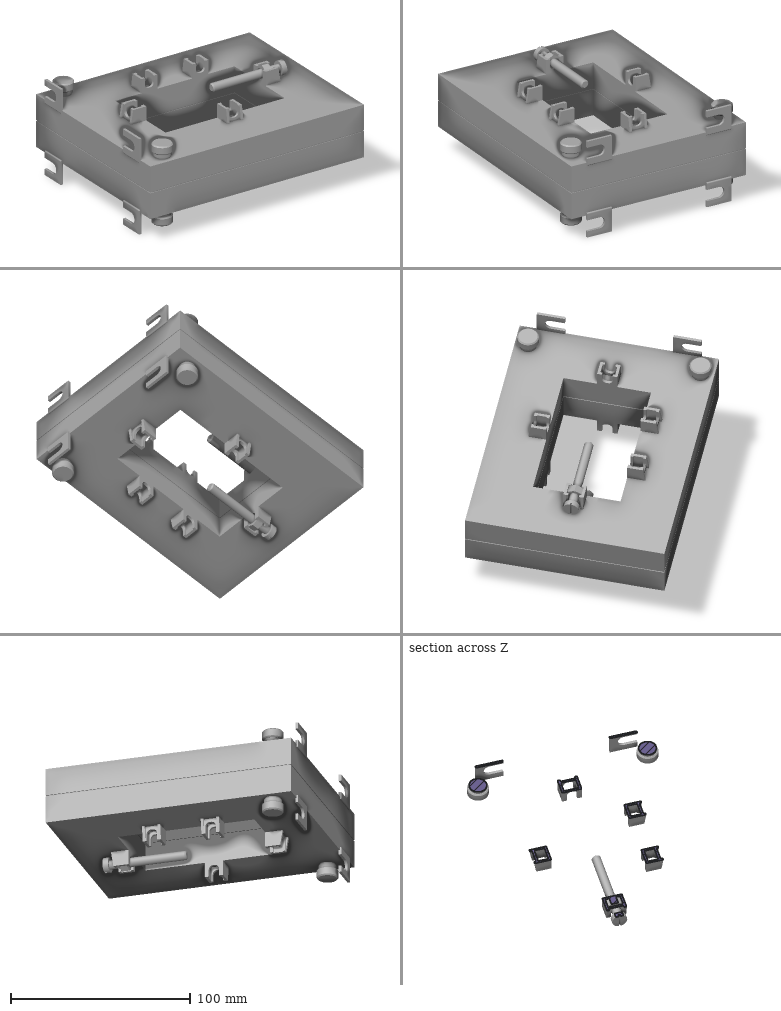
import cadquery as cq
import math

total_length = 145.0
total_height = 59.0

frame_width = 114.0
frame_length = 144.1
frame_height = 32.5
window_width = 50.0
window_length = 80.3
seam_height = 0.6
seam_depth = 0.5
frame_top = frame_height / 2
frame_front = -frame_length / 2

end_clip_width = 11.6
side_clip_width = 10.7
clip_height = 8.7
clip_wall = 1.6
clip_top_depth = 8.8
clip_base_depth = 10.3
notch_width = 6.1
notch_floor = 2.0
notch_fillet = 2.6
side_clip_offset = 17.3

screw_axis_height = 5.2
screw_axis_z = frame_top + screw_axis_height
screw_radius = 2.6
screw_tip_y = 7.5
screw_tip_chamfer = 0.7
head_radius = 4.4
head_start_y = 52.8
head_thickness = 3.2
head_slot_width = 0.9
head_slot_depth = 1.2
nut_start_y = 41.6
nut_thickness = 4.5
nut_chamfer = 0.6

knob_x = 49.3
knob_y = -58.9
knob_foot_radius = 4.6
knob_foot_height = 0.9
knob_neck_radius = 5.1
knob_neck_height = 2.2
knob_head_radius = 6.1
knob_head_height = 5.4
knob_chamfer = 0.7

tab_centers_x = (-39.0, 39.0)
tab_width = 16.1
tab_thickness = 1.6
tab_overlap = 1.7
tab_slot_width = 6.8
tab_slot_depth = 11.5
tab_slot_z = 22.3
tab_bend_radius = 0.7
tab_front = frame_front - (total_length - frame_length)
tab_bottom = frame_top - tab_overlap
tab_height = total_height / 2 - tab_bottom


def make_frame():
    """Rectangular ring with a shallow seam groove around its outside and its window."""
    frame = cq.Workplane("XY").box(frame_width, frame_length, frame_height)
    frame = frame.cut(cq.Workplane("XY").box(window_width, window_length, frame_height))
    seam = cq.Workplane("XY").box(frame_width, frame_length, seam_height)
    core = cq.Workplane("XY").box(frame_width - 2 * seam_depth, frame_length - 2 * seam_depth, seam_height)
    core = core.cut(
        cq.Workplane("XY").box(window_width + 2 * seam_depth, window_length + 2 * seam_depth, seam_height)
    )
    return frame.cut(seam.cut(core))


def make_clip(clip_width):
    """Clip with its window side on X = 0, extending to +X and standing on Z = 0."""
    side_profile = [(0, 0), (clip_base_depth, 0), (clip_top_depth, clip_height), (0, clip_height)]
    clip = cq.Workplane("XZ").polyline(side_profile).close().extrude(clip_width / 2, both=True)
    inner_width = clip_width - 2 * clip_wall
    cavity = cq.Workplane("XY").box(
        clip_top_depth - 2 * clip_wall, inner_width, clip_height, centered=(False, True, False)
    ).translate((clip_wall, 0, 0))
    end_recess = cq.Workplane("XY").box(
        clip_base_depth, inner_width, clip_height, centered=(False, True, False)
    ).translate((clip_top_depth, 0, 0))
    notch = cq.Workplane("XY").box(
        clip_base_depth, notch_width, clip_height, centered=(False, True, False)
    ).edges("|X and <Z").fillet(notch_fillet)
    notch = notch.translate((0, 0, notch_floor))
    return clip.cut(cavity).cut(end_recess).cut(notch)


def place_clip(clip_width, distance, sideways, angle):
    """Move a clip outward to the window edge, then turn it around the Z axis."""
    clip = make_clip(clip_width).translate((distance, sideways, frame_top))
    return clip.rotate((0, 0, 0), (0, 0, 1), angle)


def cylinder_along_y(radius, start_y, length):
    """Cylinder on the screw axis, growing towards +Y."""
    plane = cq.Plane(origin=(0, start_y, screw_axis_z), xDir=(1, 0, 0), normal=(0, 1, 0))
    return cq.Workplane(plane).circle(radius).extrude(length)


def make_screw():
    """Slotted cheese-head screw with a nut held between the clip walls."""
    shaft = cylinder_along_y(screw_radius, screw_tip_y, head_start_y - screw_tip_y)
    shaft = shaft.faces("<Y").chamfer(screw_tip_chamfer)
    head = cylinder_along_y(head_radius, head_start_y, head_thickness)
    slot_y = head_start_y + head_thickness - head_slot_depth / 2
    slot = cq.Workplane("XY").box(head_slot_width, head_slot_depth, 2 * head_radius)
    head = head.cut(slot.translate((0, slot_y, screw_axis_z)))

    nut_flats = end_clip_width - 2 * clip_wall
    corner_radius = nut_flats / math.sqrt(3)
    nut_plane = cq.Plane(origin=(0, nut_start_y, screw_axis_z), xDir=(0, 0, 1), normal=(0, 1, 0))
    nut = cq.Workplane(nut_plane).polygon(6, 2 * corner_radius).extrude(nut_thickness)
    rounding = cylinder_along_y(corner_radius, nut_start_y, nut_thickness).faces(">Y").chamfer(nut_chamfer)
    return shaft.union(head).union(nut.intersect(rounding))


def make_knob(x):
    """Round knob with a stepped neck and a chamfered head."""
    foot = cq.Workplane("XY").circle(knob_foot_radius).extrude(knob_foot_height)
    neck = foot.faces(">Z").workplane().circle(knob_neck_radius).extrude(knob_neck_height)
    head = cq.Workplane("XY").circle(knob_head_radius).extrude(knob_head_height)
    head = head.faces("<Z or >Z").chamfer(knob_chamfer)
    head = head.translate((0, 0, knob_foot_height + knob_neck_height))
    return neck.union(head).translate((x, knob_y, frame_top))


def make_tab(center_x):
    """Upright plate with a round-ended slot open to -X and a rounded lower front edge."""
    left = center_x - tab_width / 2
    plate = cq.Workplane("XY").box(tab_width, tab_thickness, tab_height, centered=False)
    plate = plate.edges("<Y and <Z").fillet(tab_bend_radius)
    plate = plate.translate((left, tab_front, tab_bottom))
    slot = (
        cq.Workplane("XZ")
        .slot2D(2 * tab_slot_depth, tab_slot_width)
        .extrude(tab_thickness, both=True)
        .translate((left, tab_front, tab_slot_z))
    )
    return plate.cut(slot)


fittings = [
    place_clip(side_clip_width, window_width / 2, 0, 0),
    place_clip(side_clip_width, window_width / 2, -side_clip_offset, 180),
    place_clip(side_clip_width, window_width / 2, side_clip_offset, 180),
    place_clip(end_clip_width, window_length / 2, 0, 90),
    place_clip(end_clip_width, window_length / 2, 0, -90),
    make_screw(),
]
for x in (-knob_x, knob_x):
    fittings.append(make_knob(x))
for x in tab_centers_x:
    fittings.append(make_tab(x))

result = make_frame()
for fitting in fittings:
    result = result.union(fitting).union(fitting.mirror("XY"))